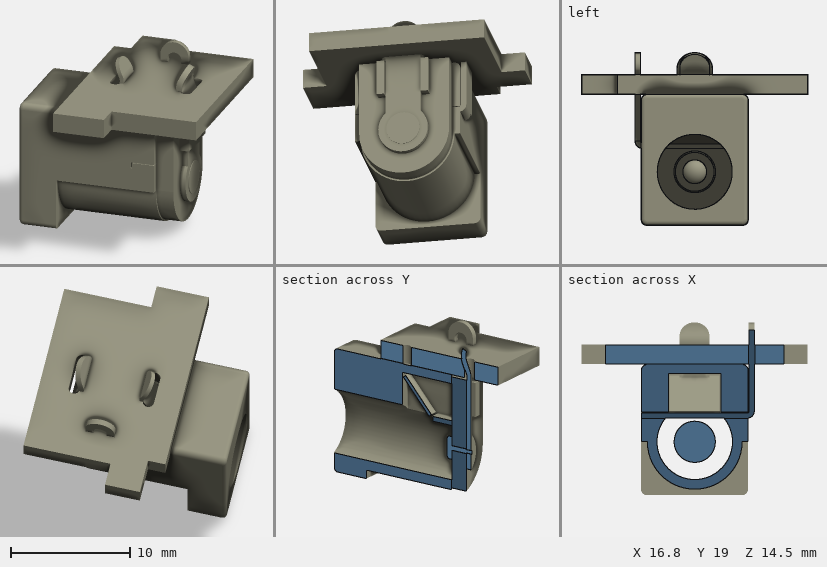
import cadquery as cq
import math


board_thickness = 1.65
board_front = 4.75
board_length = 12.0
board_back = board_front + board_length
wide_half = 9.5
narrow_half = 7.5
wide_back = 9.25
notch_length = 1.5
notch_depth = 3.0
slot_width = 0.95
spring_slot_x = 7.46
spring_slot_length = 3.25
terminal_slot_x = 13.81
terminal_slot_length = 3.65

housing_length = 12.0
housing_width = 9.0
housing_height = 11.0
flange_length = 3.3
barrel_radius = 4.0
axis_z = -6.5
bore_radius = 3.15
long_edge_fillet = 0.5
front_edge_fillet = 0.35

contact_top = 3.51

switch_thickness = 0.47
switch_bottom = -4.53
switch_front = 10.05
switch_gap = 0.05
switch_bend_radius = 0.62
switch_slot_front = 9.9
switch_slot_height = 0.53
tab_width = 2.5
tab_hole_radius = 0.625
tab_hole_z = 1.95

spring_thickness = 0.35
spring_leg_width = 2.5
spring_blade_width = 4.2
spring_leg_x = 7.28
spring_leg_bottom = -1.2
spring_kink_z = -0.2
spring_bend = (8.15, 1.86)
spring_bend_reach = 0.46
spring_lean = 26.0
spring_tip = (9.8, -4.06)

cavity_half_width = 2.2
cavity_front = 7.0
cavity_top = -0.8
leg_slot_front = 7.05
leg_slot_length = 0.6
leg_slot_half_width = 1.4

cover_thickness = 1.5
cover_inset = 0.15
rail_reach = 0.82
rail_top = -0.32
rail_bottom = -3.35
rail_width = 0.65
rail_gap = 0.05

terminal_thickness = 0.5
terminal_width = 3.0
terminal_ring_radius = 2.12
terminal_kink_z = 0.35
terminal_bend = (13.08, 2.0)
terminal_bend_reach = 0.6
terminal_lean = 24.5

pin_radius = 1.0
pin_tip_x = 1.5
pin_flange_radius = 1.75
pin_flange_thickness = 0.5
pin_flange_chamfer = 0.12
rivet_radius = 1.42
rivet_reach = 0.06

housing_half = housing_width / 2
cover_back = housing_length + cover_thickness
terminal_back = cover_back + terminal_thickness


def box(x0, x1, y0, y1, z0, z1):
    return cq.Workplane("XY").box(x1 - x0, y1 - y0, z1 - z0, centered=False).translate((x0, y0, z0))


def rod(radius, x0, x1):
    """Cylinder on the jack axis."""
    return cq.Workplane("YZ", origin=(x0, 0, axis_z)).circle(radius).extrude(x1 - x0)


def ear_strip(leg_x, leg_bottom, kink_z, bend, bend_reach, lean, top, width, thickness):
    """Upright leg that slants to a bend, leans back and ends in a half disc. Positive lean tips to +X.

    bend is the sharp corner (X, Z) of the centre line; its arc starts and ends bend_reach away from it.
    """
    lean_x = math.sin(math.radians(lean))
    lean_z = math.cos(math.radians(lean))
    slant_length = math.hypot(bend[0] - leg_x, bend[1] - kink_z)
    arc_share = bend_reach / slant_length
    arc_start = (
        bend[0] - arc_share * (bend[0] - leg_x),
        bend[1] - arc_share * (bend[1] - kink_z),
    )
    arc_end = (bend[0] + bend_reach * lean_x, bend[1] + bend_reach * lean_z)
    tip_z = top - thickness / 2 * abs(lean_x)
    tip = (bend[0] + (tip_z - bend[1]) * lean_x / lean_z, tip_z)
    path = (
        cq.Workplane("XZ")
        .moveTo(leg_x, leg_bottom)
        .lineTo(leg_x, kink_z)
        .lineTo(*arc_start)
        .tangentArcPoint(arc_end, relative=False)
        .lineTo(*tip)
    )
    strip = (
        cq.Workplane("XY", origin=(leg_x, 0, leg_bottom))
        .rect(thickness, width)
        .sweep(path, transition="right")
    )
    radius = width / 2
    keep_length = 2 * (top - leg_bottom)
    tip_plane = cq.Plane(origin=(tip[0], 0, tip[1]), xDir=(0, 1, 0), normal=(lean_z, 0, -lean_x))
    outline = (
        cq.Workplane(tip_plane)
        .moveTo(-radius, -radius)
        .threePointArc((0, 0), (radius, -radius))
        .lineTo(radius, -keep_length)
        .lineTo(-radius, -keep_length)
        .close()
        .extrude(keep_length, both=True)
    )
    return strip.intersect(outline)


def make_spring_contact():
    leg = ear_strip(
        spring_leg_x, spring_leg_bottom, spring_kink_z, spring_bend, spring_bend_reach,
        -spring_lean, contact_top, spring_leg_width, spring_thickness,
    )
    half = spring_thickness / 2
    run = spring_tip[0] - spring_leg_x
    drop = spring_tip[1] - spring_leg_bottom
    length = math.hypot(run, drop)
    blade = (
        cq.Workplane("XY")
        .box(length + half, spring_blade_width, spring_thickness, centered=(False, True, True))
        .translate((-half, 0, 0))
        .rotate((0, 0, 0), (0, 1, 0), -math.degrees(math.atan2(drop, run)))
        .translate((spring_leg_x, 0, spring_leg_bottom))
    )
    return leg.union(blade)


def make_rear_terminal():
    terminal_x = cover_back + terminal_thickness / 2
    strip = ear_strip(
        terminal_x, axis_z, terminal_kink_z, terminal_bend, terminal_bend_reach,
        terminal_lean, contact_top, terminal_width, terminal_thickness,
    )
    ring = rod(terminal_ring_radius, cover_back, terminal_back)
    return strip.union(ring).cut(rod(rivet_radius, cover_back, terminal_back))


def make_switch_contact():
    inner = housing_half + switch_gap
    outer = inner + switch_thickness
    inner_bend_radius = switch_bend_radius - switch_thickness
    bend_y = outer - switch_bend_radius
    bend_z = switch_bottom + switch_bend_radius
    diagonal = math.sqrt(0.5)
    blade = (
        cq.Workplane("YZ", origin=(switch_front, 0, 0))
        .moveTo(-housing_half, switch_bottom)
        .lineTo(bend_y, switch_bottom)
        .threePointArc(
            (bend_y + switch_bend_radius * diagonal, bend_z - switch_bend_radius * diagonal),
            (outer, bend_z),
        )
        .lineTo(inner, bend_z)
        .threePointArc(
            (bend_y + inner_bend_radius * diagonal, bend_z - inner_bend_radius * diagonal),
            (bend_y, switch_bottom + switch_thickness),
        )
        .lineTo(-housing_half, switch_bottom + switch_thickness)
        .close()
        .extrude(housing_length - switch_front)
    )
    radius = tab_width / 2
    tab_x = housing_length - radius
    tab_centre_z = contact_top - radius
    tab = (
        cq.Workplane("XZ", origin=(0, outer, 0))
        .moveTo(tab_x - radius, bend_z)
        .lineTo(tab_x + radius, bend_z)
        .lineTo(tab_x + radius, tab_centre_z)
        .threePointArc((tab_x, contact_top), (tab_x - radius, tab_centre_z))
        .close()
        .extrude(switch_thickness)
    )
    hole = (
        cq.Workplane("XZ", origin=(tab_x, outer, tab_hole_z))
        .circle(tab_hole_radius)
        .extrude(switch_thickness)
    )
    return blade.union(tab).cut(hole)


def make_pin():
    tip_centre_x = pin_tip_x + pin_radius
    tip = cq.Workplane("XY").sphere(pin_radius).translate((tip_centre_x, 0, axis_z))
    shank = rod(pin_radius, tip_centre_x, housing_length).union(tip)
    flange = rod(pin_flange_radius, housing_length - pin_flange_thickness, housing_length)
    flange = flange.faces("<X").edges().chamfer(pin_flange_chamfer)
    rivet = rod(rivet_radius, housing_length, terminal_back + rivet_reach)
    return shank.union(flange).union(rivet)


def make_cover():
    radius = barrel_radius - cover_inset
    plate = rod(radius, housing_length, cover_back).union(
        box(housing_length, cover_back, -radius, radius, axis_z, -cover_inset)
    )
    rail_inner = terminal_width / 2 + rail_gap
    rail = box(
        cover_back, cover_back + rail_reach, rail_inner, rail_inner + rail_width,
        rail_bottom, rail_top,
    )
    plate = plate.union(rail).union(rail.mirror("XZ"))
    return plate.cut(rod(rivet_radius, housing_length, cover_back))


def make_housing():
    flange = box(0, flange_length, -housing_half, housing_half, -housing_height, 0)
    block = box(0, housing_length, -housing_half, housing_half, axis_z, 0)
    body = flange.union(block)
    body = body.edges("|X and (>Z or <Z)").fillet(long_edge_fillet)
    body = body.faces("<X").edges().fillet(front_edge_fillet)
    body = body.union(rod(barrel_radius, flange_length, housing_length))
    body = body.cut(rod(bore_radius, 0, housing_length))
    body = body.cut(
        box(
            cavity_front, housing_length, -cavity_half_width, cavity_half_width, axis_z, cavity_top,
        )
    )
    body = body.cut(
        box(
            leg_slot_front, leg_slot_front + leg_slot_length, -leg_slot_half_width, leg_slot_half_width,
            cavity_top, 0,
        )
    )
    return body.cut(
        box(
            switch_slot_front, housing_length, -housing_half, housing_half,
            switch_bottom, switch_bottom + switch_slot_height,
        )
    )


def make_board(contacts):
    plate = (
        cq.Workplane("XY")
        .polyline([
            (board_front, -wide_half),
            (wide_back, -wide_half),
            (wide_back, -narrow_half),
            (board_back, -narrow_half),
            (board_back, narrow_half),
            (wide_back, narrow_half),
            (wide_back, wide_half),
            (board_front + notch_length, wide_half),
            (board_front + notch_length, wide_half - notch_depth),
            (board_front, wide_half - notch_depth),
        ])
        .close()
        .extrude(board_thickness)
    )
    slots = [(spring_slot_x, spring_slot_length), (terminal_slot_x, terminal_slot_length)]
    for slot_x, slot_length in slots:
        slot = cq.Workplane("XY").center(slot_x, 0).slot2D(slot_length, slot_width, 90)
        plate = plate.cut(slot.extrude(board_thickness))
    for contact in contacts:
        plate = plate.cut(contact)
    return plate


housing = make_housing()
cover = make_cover()
pin = make_pin()
spring_contact = make_spring_contact()
switch_contact = make_switch_contact()
rear_terminal = make_rear_terminal()
board = make_board([switch_contact, spring_contact, rear_terminal])

result = cq.Compound.makeCompound([
    board.val(),
    housing.val(),
    cover.val(),
    pin.val(),
    spring_contact.val(),
    switch_contact.val(),
    rear_terminal.val(),
])